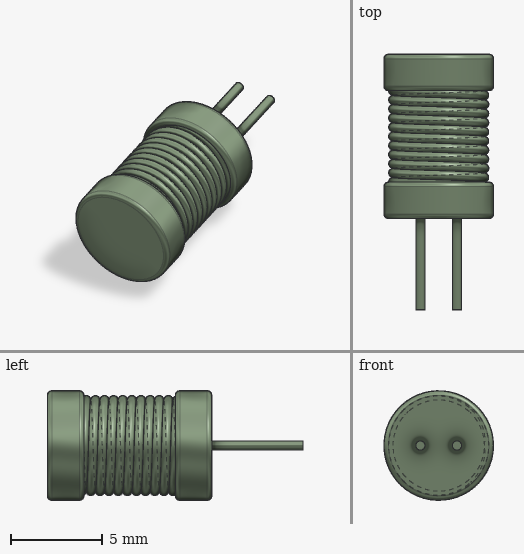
import cadquery as cq

total_length = 14.0
lead_length = 5.0
flange_diameter = 6.0
flange_length = 2.0
flange_fillet = 0.25

core_diameter = 5.0
wire_diameter = 0.49
turns = 10
end_turns = 0.5

lead_diameter = 0.5
lead_spacing = 2.0

body_length = total_length - lead_length
core_length = body_length - 2 * flange_length
pitch = core_length / turns
end_run = end_turns * pitch
core_radius = core_diameter / 2


def rod(diameter, start_y, length, x=0):
    """Solid cylinder running from start_y toward +Y."""
    base = cq.Plane(origin=(x, start_y, 0), xDir=(1, 0, 0), normal=(0, 1, 0))
    return cq.Workplane(base).circle(diameter / 2).extrude(length)


def flange(start_y):
    """End disc with both rims rounded."""
    return rod(flange_diameter, start_y, flange_length).edges("%CIRCLE").fillet(flange_fillet)


def winding():
    """Left-handed coil between the flanges, with both ends running on into them."""
    helix = cq.Wire.makeHelix(pitch, core_length + 2 * end_run, core_radius, lefthand=True)
    coil = (
        cq.Workplane("XZ", origin=(core_radius, 0, 0))
        .circle(wire_diameter / 2)
        .sweep(cq.Workplane(helix), isFrenet=True)
    )
    start_angle = 180 + 360 * end_turns
    along_y = coil.rotate((0, 0, 0), (1, 0, 0), -90)
    return along_y.rotate((0, 0, 0), (0, 1, 0), start_angle).translate((0, flange_length - end_run, 0))


result = rod(core_diameter, 0, body_length).union(winding())
for flange_start in (0, body_length - flange_length):
    result = result.union(flange(flange_start))

for lead_x in (-lead_spacing / 2, lead_spacing / 2):
    result = result.union(rod(lead_diameter, -lead_length, lead_length + flange_length / 2, lead_x))